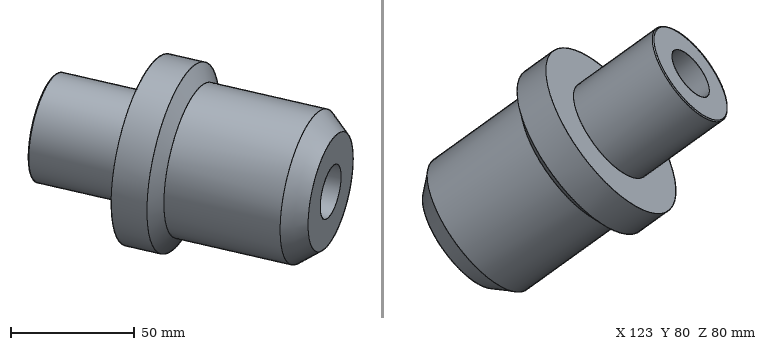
import cadquery as cq

total_length = 123.0
shank_length = 43.0
flange_width = 15.6
shoulder_length = 4.4
nose_length = 9.2

shank_diameter = 46.0
flange_diameter = 80.0
body_diameter = 65.0
nose_diameter = 49.9
bore_diameter = 23.0

shank_chamfer = 0.5

shank_radius = shank_diameter / 2
flange_radius = flange_diameter / 2
body_radius = body_diameter / 2
nose_radius = nose_diameter / 2
bore_radius = bore_diameter / 2

flange_end = shank_length + flange_width
shoulder_end = flange_end + shoulder_length
nose_start = total_length - nose_length

half_section = (
    cq.Workplane("XY")
    .moveTo(0, bore_radius)
    .lineTo(0, shank_radius - shank_chamfer)
    .lineTo(shank_chamfer, shank_radius)
    .lineTo(shank_length, shank_radius)
    .lineTo(shank_length, flange_radius)
    .lineTo(flange_end, flange_radius)
    .lineTo(shoulder_end, body_radius)
    .lineTo(nose_start, body_radius)
    .lineTo(total_length, nose_radius)
    .lineTo(total_length, bore_radius)
    .close()
)

result = half_section.revolve(360, (0, 0, 0), (1, 0, 0))